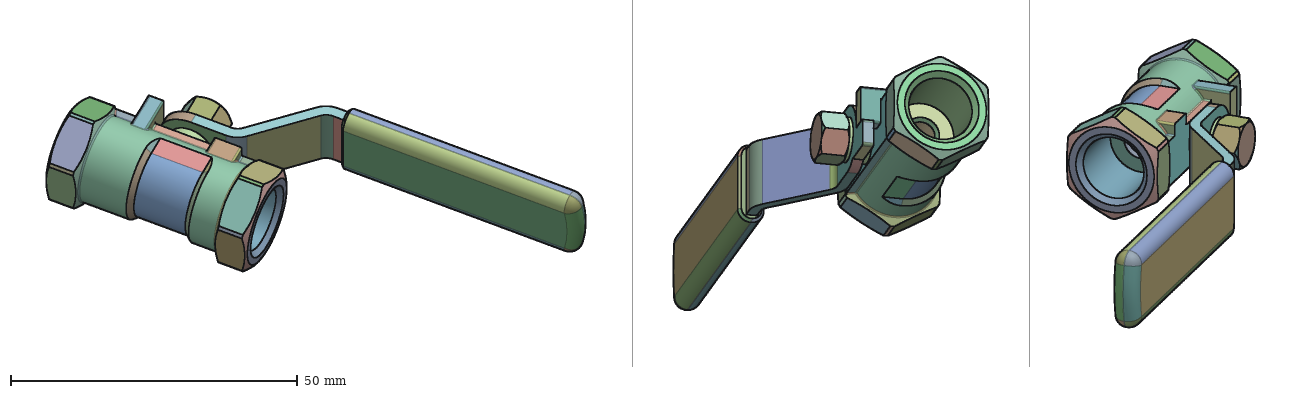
import cadquery as cq
import math

LENGTH = 38.9
HEX_FLATS = 17.1
HEX_CORNER_DIA = 19.3
HEX_LENGTH = 6.3
HEX_FACE_DIA = 16.1
HEX_CHAMFER = 0.8
BODY_RADIUS = HEX_FACE_DIA / 2
BODY_ROOT_RADIUS = 0.4
NECK_RADIUS = 7.2
NECK_START = 15.5
NECK_END = 27.6
NECK_TAPER = 1.1
BORE_DIA = 11.5
BORE_DEPTH = 13.4
BORE_MOUTH_DIA = 13.4
PASSAGE_DIA = 5.0
PASSAGE_CHAMFER = 0.6
PAD_TOP = 8.3
PAD_HALF_WIDTH = 4.3

POST_START = 10.3
POST_END = 13.3
BLOCK_START = 24.8
BLOCK_END = 30.1
STOP_REACH = 6.58
STOP_EDGE_RADIUS = 0.4
STOP_ROOT_RADIUS = 0.3

STEM_X = LENGTH / 2
STEM_DIA = 8.0
NUT_FLATS = 8.0
NUT_BOTTOM = 12.5
NUT_TOP = 17.5
NUT_FACE_DIA = 8.0
NUT_CHAMFER = 0.45

STRIP_BOTTOM = 9.9
STRIP_THICKNESS = 2.0
STRIP_TOP = STRIP_BOTTOM + STRIP_THICKNESS
STRIP_WIDTH = 12.2
BEND_ANGLE = 45.0
BEND_RADIUS = 2.9
LOWER_BEND_X = 27.8
TAIL_START = 8.95
TAIL_WIDTH = 4.9
TAIL_EDGE_RADIUS = 0.5
GRIP_START = 43.4
GRIP_END = 89.5
GRIP_WIDTH = 14.5
GRIP_THICKNESS = 4.7
GRIP_CENTER_Y = 22.8
GRIP_END_RADIUS = 26.85
GRIP_CORNER_RADIUS = 2.4
GRIP_SEAM_WIDTH = 0.1
GRIP_ROUNDING = (GRIP_THICKNESS - GRIP_SEAM_WIDTH) / 2
GRIP_CHAMFER = 0.5


def box(x_range, y_range, z_range):
    """Box between the given limits along X, Y and Z."""
    sizes = [high - low for low, high in (x_range, y_range, z_range)]
    return cq.Workplane("XY").box(*sizes, centered=False).translate((x_range[0], y_range[0], z_range[0]))


def turned_x(points):
    """Solid turned about the X axis from (x, radius) points."""
    return cq.Workplane("XY").polyline(points).close().revolve(360, (0, 0, 0), (1, 0, 0))


def cylinder_y(x, diameter, bottom, top):
    """Cylinder with its axis along Y at the given X."""
    base = cq.Workplane("XZ", origin=(x, bottom, 0))
    return base.circle(diameter / 2).extrude(bottom - top)


def chamfered_blank(length, face_radius, full_radius, chamfer):
    """Turned blank along X whose two ends taper to the face radius."""
    return turned_x([
        (0, 0),
        (0, face_radius),
        (chamfer, full_radius),
        (length - chamfer, full_radius),
        (length, face_radius),
        (length, 0),
    ])


def chamfered_hexagon(length, flats, corner_dia, face_dia, chamfer):
    """Hexagon along X with corners at +Z and -Z, turned down at both ends."""
    prism = cq.Workplane("YZ").polygon(6, flats / math.cos(math.pi / 6)).extrude(length)
    prism = prism.rotate((0, 0, 0), (1, 0, 0), 90)
    return prism.intersect(chamfered_blank(length, face_dia / 2, corner_dia / 2, chamfer))


def make_pipe():
    """Round body with a hexagon at each end, a waist and the flat pad under the lever."""
    right_hex_start = LENGTH - HEX_LENGTH
    body = [
        (HEX_CHAMFER, 0),
        (HEX_CHAMFER, BODY_RADIUS),
        (LENGTH - HEX_CHAMFER, BODY_RADIUS),
        (LENGTH - HEX_CHAMFER, 0),
    ]
    pipe = turned_x(body)
    hexagon = chamfered_hexagon(HEX_LENGTH, HEX_FLATS, HEX_CORNER_DIA, HEX_FACE_DIA, HEX_CHAMFER)
    for start in (0, right_hex_start):
        pipe = pipe.union(hexagon.translate((start, 0, 0)))
    for x in (HEX_LENGTH, right_hex_start):
        root = cq.selectors.NearestToPointSelector((x, 0, 0))
        pipe = pipe.edges(root).fillet(BODY_ROOT_RADIUS)
    pad = box((HEX_LENGTH / 2, LENGTH - HEX_LENGTH / 2), (0, PAD_TOP), (-PAD_HALF_WIDTH, PAD_HALF_WIDTH))
    return pipe.cut(make_neck_cutter()).union(pad)


def make_neck_cutter():
    """Waist: a half ring below the axis that runs on as straight flats above it."""
    taper_slope = NECK_TAPER / (BODY_RADIUS - NECK_RADIUS)
    clearance = 0.9
    outer_radius = BODY_RADIUS + clearance
    flare = taper_slope * clearance
    section = [
        (NECK_START - flare, outer_radius),
        (NECK_START + NECK_TAPER, NECK_RADIUS),
        (NECK_END - NECK_TAPER, NECK_RADIUS),
        (NECK_END + flare, outer_radius),
    ]
    half_ring = cq.Workplane("XZ").polyline(section).close().revolve(180, (0, 0, 0), (1, 0, 0))
    flat = cq.Workplane("XZ").polyline(section).close().extrude(-BODY_RADIUS)
    return half_ring.union(flat).union(flat.mirror("XY"))


def make_stop(x_range, top):
    """Stop block that stands on the pad and reaches out past it toward +Z."""
    stop = box(x_range, (0, top), (0, STOP_REACH))
    return stop.edges("|Y").fillet(STOP_EDGE_RADIUS)


def round_roots(body):
    """Fillet the inside corners where the pad and the stops meet the round body."""
    margin = 0.1
    hex_gap = 0.9
    side_root_drop = 0.9
    x_start = HEX_LENGTH + hex_gap
    x_end = LENGTH - x_start
    root_y = math.sqrt(BODY_RADIUS**2 - PAD_HALF_WIDTH**2)
    stop_middle = (PAD_HALF_WIDTH + STOP_REACH) / 2
    stop_side = cq.selectors.BoxSelector(
        (x_start, root_y - side_root_drop, PAD_HALF_WIDTH - margin),
        (x_end, PAD_TOP - margin, stop_middle),
    )
    plain_side = cq.selectors.BoxSelector(
        (x_start, root_y - margin, -PAD_HALF_WIDTH - margin),
        (x_end, root_y + margin, -PAD_HALF_WIDTH + margin),
    )
    return body.edges(stop_side + plain_side).fillet(STOP_ROOT_RADIUS)


def make_stem():
    """Straight round stem that passes through the lever."""
    overlap = 0.9
    return cylinder_y(STEM_X, STEM_DIA, PAD_TOP - overlap, NUT_BOTTOM + overlap)


def make_nut():
    """Hexagon nut on the stem, with a flat facing +Z."""
    corner_dia = NUT_FLATS / math.cos(math.pi / 6)
    nut = chamfered_hexagon(NUT_TOP - NUT_BOTTOM, NUT_FLATS, corner_dia, NUT_FACE_DIA, NUT_CHAMFER)
    nut = nut.rotate((0, 0, 0), (0, 0, 1), 90).rotate((0, 0, 0), (0, 1, 0), 90)
    return nut.translate((STEM_X, NUT_BOTTOM, 0))


def make_bores():
    """Passage through the pipe, with a wide countersunk bore at each end."""
    mouth_depth = (BORE_MOUTH_DIA - BORE_DIA) / 2
    bore = turned_x([
        (0, 0),
        (0, BORE_MOUTH_DIA / 2),
        (mouth_depth, BORE_DIA / 2),
        (BORE_DEPTH, BORE_DIA / 2),
        (BORE_DEPTH, PASSAGE_DIA / 2 + PASSAGE_CHAMFER),
        (BORE_DEPTH + PASSAGE_CHAMFER, PASSAGE_DIA / 2),
        (LENGTH / 2, PASSAGE_DIA / 2),
        (LENGTH / 2, 0),
    ])
    return bore.union(bore.mirror("YZ", (LENGTH / 2, 0, 0)))


def make_housing():
    """Pipe with its stops, stem and nut as one body."""
    housing = make_pipe()
    housing = housing.union(make_stop((POST_START, POST_END), STRIP_TOP))
    housing = housing.union(make_stop((BLOCK_START, BLOCK_END), PAD_TOP))
    housing = round_roots(housing)
    housing = housing.union(make_stem()).union(make_nut())
    return housing.cut(make_bores())


def make_strip():
    """Bent strip, from the stem up to the grip."""
    rise = GRIP_CENTER_Y - STRIP_THICKNESS / 2 - STRIP_BOTTOM
    slope = math.tan(math.radians(BEND_ANGLE))
    upper_bend_x = LOWER_BEND_X + rise / slope
    corner_shift = STRIP_THICKNESS * math.tan(math.radians(BEND_ANGLE / 2))
    lower_x = LOWER_BEND_X + corner_shift / 2
    upper_x = upper_bend_x + corner_shift / 2
    upper_bottom = STRIP_BOTTOM + rise
    depth_in_grip = 0.9
    strip_end = GRIP_START + depth_in_grip
    outline = [
        (STEM_X, STRIP_BOTTOM),
        (lower_x, STRIP_BOTTOM),
        (upper_x, upper_bottom),
        (strip_end, upper_bottom),
        (strip_end, upper_bottom + STRIP_THICKNESS),
        (upper_x - corner_shift, upper_bottom + STRIP_THICKNESS),
        (lower_x - corner_shift, STRIP_TOP),
        (STEM_X, STRIP_TOP),
    ]
    strip = cq.Workplane("XY").polyline(outline).close().extrude(STRIP_WIDTH / 2, both=True)
    outer_radius = BEND_RADIUS + STRIP_THICKNESS
    bends = [
        (lower_x, STRIP_BOTTOM, outer_radius),
        (lower_x - corner_shift, STRIP_TOP, BEND_RADIUS),
        (upper_x, upper_bottom, BEND_RADIUS),
        (upper_x - corner_shift, upper_bottom + STRIP_THICKNESS, outer_radius),
    ]
    for x, y, radius in bends:
        strip = strip.edges(cq.NearestToPointSelector((x, y, 0))).fillet(radius)
    return strip


def make_strip_end():
    """Round end about the stem, with the stop tail on its -Z side."""
    round_end = cylinder_y(STEM_X, STRIP_WIDTH, STRIP_BOTTOM, STRIP_TOP)
    tail = box((TAIL_START, STEM_X), (STRIP_BOTTOM, STRIP_TOP), (-TAIL_WIDTH, 0))
    tail = tail.edges("|Y").edges("<X").fillet(TAIL_EDGE_RADIUS)
    return round_end.union(tail)


def make_grip():
    """Thick grip with fully rounded long sides and a bowed, rounded end."""
    half_width = GRIP_WIDTH / 2
    bow = GRIP_END_RADIUS - math.sqrt(GRIP_END_RADIUS**2 - half_width**2)
    outline = (
        cq.Workplane("XZ", origin=(0, GRIP_CENTER_Y, 0))
        .moveTo(GRIP_START, -half_width)
        .lineTo(GRIP_END - bow, -half_width)
        .threePointArc((GRIP_END, 0), (GRIP_END - bow, half_width))
        .lineTo(GRIP_START, half_width)
        .close()
    )
    grip = outline.extrude(GRIP_THICKNESS / 2, both=True)
    grip = grip.edges("|Y").edges(">X").fillet(GRIP_CORNER_RADIUS)
    grip = grip.faces(">Y or <Y").edges("not <X").fillet(GRIP_ROUNDING)
    return grip.faces("<X").edges().chamfer(GRIP_CHAMFER)


def make_handle():
    """Bent strip and grip, with the hole that fits the stem."""
    handle = make_strip().union(make_strip_end()).union(make_grip())
    return handle.cut(cylinder_y(STEM_X, STEM_DIA, STRIP_BOTTOM, STRIP_TOP))


housing = make_housing()
handle = make_handle()
result = cq.Compound.makeCompound([housing.val(), handle.val()])